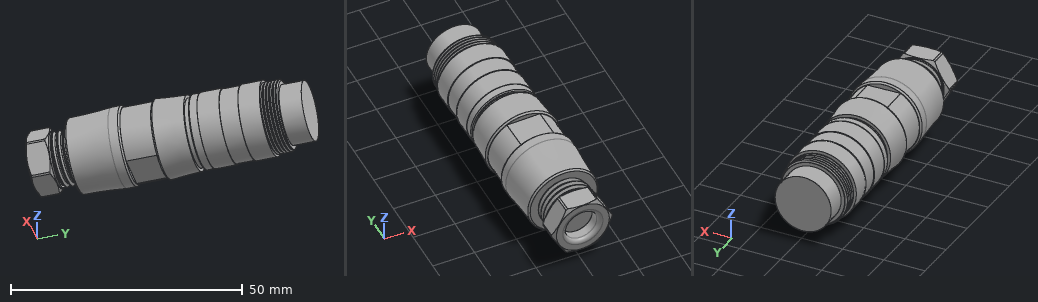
import cadquery as cq
import math

LENGTH = 62.30
TILT_ABOUT_X = 0.6
TILT_ABOUT_Z = 1.45

HEX_FLATS = 13.0
HEX_LENGTH = 5.15
HEX_CORNER_DIA = 14.75
HEX_FACE_DIA = 12.8
HEX_CHAMFER_LENGTH = 0.5
BORE_DIA = 7.7
BORE_DEPTH = 3.2
BORE_ROUNDING = 1.0

THREAD_ANGLE = 60.0
CREST_RATIO = 1 / 8
ROOT_RATIO = 1 / 4
NUT_THREAD_DIA = 12.5
NUT_THREAD_PITCH = 1.25
NUT_THREAD_PHASE = 244.0
NUT_COLLAR_LENGTH = 0.35
PLUG_THREAD_DIA = 16.0
PLUG_THREAD_PITCH = 0.75
PLUG_THREAD_PHASE = 0.0
PLUG_THREAD_CHAMFER = 0.4
THREAD_SPARE_TURNS = 1.5

SLEEVE_DIA = 18.0
BODY_DIA = 17.0
GROOVE_DIA = 15.5
RING_GAP_DIA = 16.6
RING_TAIL_DIA = 16.8
PLUG_DIA = 13.5
TAPER_RADIUS = 90.0
SLEEVE_CHAMFER = 0.4
RING_CHAMFER = 0.25

REAR_SLEEVE_START = 9.3
REAR_TAPER_END = 19.35
REAR_SLEEVE_END = 21.9
MIDDLE_SLEEVE_START = 28.85
MIDDLE_SLEEVE_END = 36.25
TAIL_START = 37.25
RING_START = 39.27
RING_END = 44.25
FRONT_RING_START = 48.5
FRONT_RING_END = 53.35
PLUG_THREAD_END = 57.3

WRENCH_FLATS = 15.0


def cylinder(diameter, start, end):
    return cq.Workplane("XZ", origin=(0, start, 0)).circle(diameter / 2).extrude(start - end)


def arc_middle(start, end, radius):
    """Middle point of a shallow arc that sags towards the axis between two points along +Y."""
    run = end[0] - start[0], end[1] - start[1]
    chord = math.hypot(*run)
    sag = radius - math.sqrt(radius**2 - (chord / 2) ** 2)
    middle = (start[0] + end[0]) / 2, (start[1] + end[1]) / 2
    return middle[0] - sag * run[1] / chord, middle[1] + sag * run[0] / chord


def housing():
    sleeve = SLEEVE_DIA / 2
    body = BODY_DIA / 2
    groove = GROOVE_DIA / 2
    gap = RING_GAP_DIA / 2
    tail = RING_TAIL_DIA / 2
    rear_taper = (body, REAR_SLEEVE_START + SLEEVE_CHAMFER), (sleeve, REAR_TAPER_END)
    middle_taper = (sleeve, MIDDLE_SLEEVE_START + SLEEVE_CHAMFER), (body, MIDDLE_SLEEVE_END)
    return (
        cq.Workplane("XY")
        .moveTo(0, REAR_SLEEVE_START)
        .lineTo(body - SLEEVE_CHAMFER, REAR_SLEEVE_START)
        .lineTo(*rear_taper[0])
        .threePointArc(arc_middle(*rear_taper, TAPER_RADIUS), rear_taper[1])
        .lineTo(sleeve, REAR_SLEEVE_END - SLEEVE_CHAMFER)
        .lineTo(sleeve - SLEEVE_CHAMFER, REAR_SLEEVE_END)
        .lineTo(body, REAR_SLEEVE_END)
        .lineTo(body, MIDDLE_SLEEVE_START)
        .lineTo(sleeve - SLEEVE_CHAMFER, MIDDLE_SLEEVE_START)
        .lineTo(*middle_taper[0])
        .threePointArc(arc_middle(*middle_taper, TAPER_RADIUS), middle_taper[1])
        .lineTo(groove, MIDDLE_SLEEVE_END)
        .lineTo(groove, TAIL_START)
        .lineTo(tail - RING_CHAMFER, TAIL_START)
        .lineTo(tail, TAIL_START + RING_CHAMFER)
        .lineTo(tail, RING_START)
        .lineTo(body, RING_START)
        .lineTo(body, RING_END)
        .lineTo(gap, RING_END)
        .lineTo(gap, FRONT_RING_START)
        .lineTo(body, FRONT_RING_START)
        .lineTo(body, FRONT_RING_END)
        .lineTo(0, FRONT_RING_END)
        .close()
        .revolve(360, (0, 0, 0), (0, 1, 0))
    )


def cut_wrench_flats(part):
    span = REAR_SLEEVE_END, MIDDLE_SLEEVE_START
    width = span[1] - span[0]
    for side in (1, -1):
        waste = cq.Workplane("XY").box(SLEEVE_DIA, width, BODY_DIA)
        height = side * (WRENCH_FLATS + BODY_DIA) / 2
        part = part.cut(waste.translate((0, sum(span) / 2, height)))
    return part


def threaded_rod(diameter, pitch, phase, start, end, end_chamfer):
    """Cylinder along Y with a right-hand V groove wound around it and an optional +Y end chamfer."""
    tan_half = math.tan(math.radians(THREAD_ANGLE / 2))
    crest_width = pitch * CREST_RATIO
    root_width = pitch * ROOT_RATIO
    radius = diameter / 2
    root = radius - (pitch - crest_width - root_width) / (2 * tan_half)
    root_half = root_width / 2
    outer = radius + crest_width / 4
    outer_half = root_half + (outer - root) * tan_half
    groove_start = start - THREAD_SPARE_TURNS * pitch
    groove_end = end + THREAD_SPARE_TURNS * pitch
    path = cq.Wire.makeHelix(pitch, groove_end - groove_start, root)
    groove = (
        cq.Workplane("XZ")
        .polyline([(root, root_half), (outer, outer_half), (outer, -outer_half), (root, -root_half)])
        .close()
        .sweep(cq.Workplane(obj=path), isFrenet=True)
        .rotate((0, 0, 0), (0, 0, 1), phase)
        .rotate((0, 0, 0), (1, 0, 0), -90)
        .translate((0, groove_start, 0))
    )
    blank = cylinder(diameter, groove_start - pitch, groove_end + pitch)
    kept = cylinder(diameter + 2 * pitch, start, end)
    if end_chamfer:
        kept = kept.faces(">Y").chamfer(pitch + end_chamfer)
    return blank.cut(groove).intersect(kept)


def nut():
    corner = HEX_CORNER_DIA / 2
    face = HEX_FACE_DIA / 2
    hexagon = (
        cq.Workplane("XZ")
        .polygon(6, HEX_FLATS / math.cos(math.pi / 6))
        .extrude(-HEX_LENGTH)
    )
    envelope = (
        cq.Workplane("XY")
        .polyline([
            (0, 0),
            (face, 0),
            (corner, HEX_CHAMFER_LENGTH),
            (corner, HEX_LENGTH - HEX_CHAMFER_LENGTH),
            (face, HEX_LENGTH),
            (0, HEX_LENGTH),
        ])
        .close()
        .revolve(360, (0, 0, 0), (0, 1, 0))
    )
    bore = BORE_DIA / 2
    hole = (
        cq.Workplane("XY")
        .lineTo(bore + BORE_ROUNDING, 0)
        .radiusArc((bore, BORE_ROUNDING), BORE_ROUNDING)
        .lineTo(bore, BORE_DEPTH)
        .lineTo(0, BORE_DEPTH)
        .close()
        .revolve(360, (0, 0, 0), (0, 1, 0))
    )
    return hexagon.intersect(envelope).cut(hole)


nut_thread_start = HEX_LENGTH + NUT_COLLAR_LENGTH
nut_collar = cylinder(NUT_THREAD_DIA, HEX_LENGTH, nut_thread_start)
nut_thread = threaded_rod(
    NUT_THREAD_DIA, NUT_THREAD_PITCH, NUT_THREAD_PHASE, nut_thread_start, REAR_SLEEVE_START, 0
)
plug_thread = threaded_rod(
    PLUG_THREAD_DIA,
    PLUG_THREAD_PITCH,
    PLUG_THREAD_PHASE,
    FRONT_RING_END,
    PLUG_THREAD_END,
    PLUG_THREAD_CHAMFER,
)
connector = (
    cut_wrench_flats(housing())
    .union(nut_thread)
    .union(nut_collar)
    .union(plug_thread)
    .union(nut())
    .union(cylinder(PLUG_DIA, PLUG_THREAD_END, LENGTH))
)
result = (
    connector.translate((0, -LENGTH / 2, 0))
    .rotate((0, 0, 0), (1, 0, 0), TILT_ABOUT_X)
    .rotate((0, 0, 0), (0, 0, 1), TILT_ABOUT_Z)
)